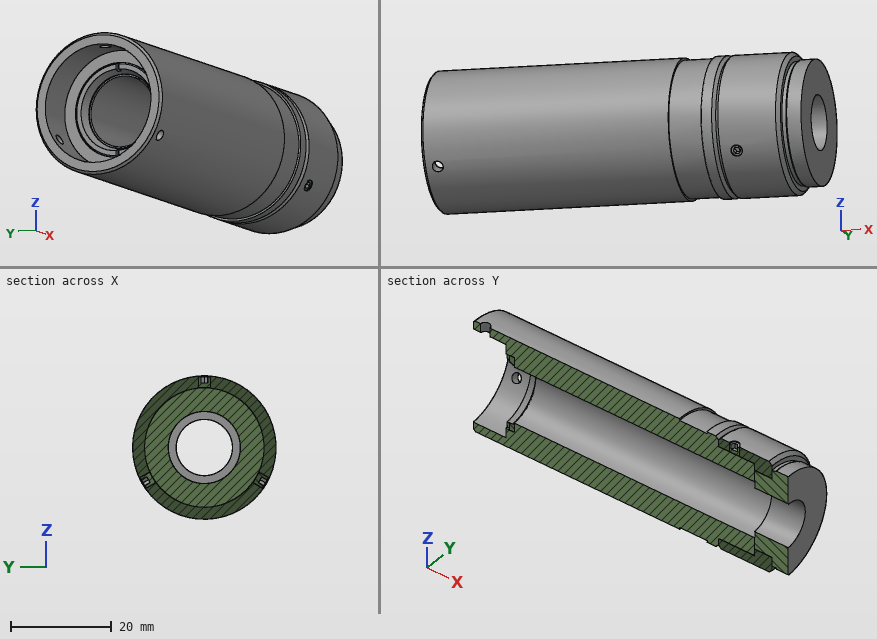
import cadquery as cq
import math

OVERALL_LENGTH = 78.41
OUTER_DIA = 28.57
OUTER_RADIUS = OUTER_DIA / 2

BARREL_LENGTH = 61.0
FRONT_CHAMFER = 0.5
GRIP_LENGTH = 51.35
NECK_END = 58.15
NECK_DIA = 27.7
GROOVE_CHAMFER = 0.65
FRONT_BORE_DIA = 23.88
FRONT_BORE_DEPTH = 8.1
LIGHT_PATH_DIA = 14.3
SPIGOT_DIA = 23.88
SPIGOT_LENGTH = 9.0

RING_DIA = 19.05
RING_THICKNESS = 2.1
RING_TAPER_LENGTH = 1.8
RING_EDGE_CHAMFER = 0.28
RING_FRONT_OPENING = 16.5
RING_BACK_OPENING = 14.99
SPANNER_SLOT_WIDTH = 0.7
SPANNER_SLOT_DEPTH = 0.8

HEAD_END = 74.4
HEAD_CHAMFER = 0.8

FLANGE_DIA = 25.4
RELIEF_DIA = 24.86
RELIEF_END = 75.45
RELIEF_TAPER = (FLANGE_DIA - RELIEF_DIA) / 2
MOUNT_SPIGOT_DIA = 20.07
APERTURE_DIA = 11.15

RADIAL_ANGLES = (90, 210, 330)
FRONT_HOLE_DIA = 2.2
FRONT_HOLES_X = 3.0
SET_SCREW_DIA = 2.3
SET_SCREWS_X = 64.95
SCREW_RECESS = 0.25
SOCKET_WIDTH = 1.27
SOCKET_DEPTH = 1.2
SOCKET_CORNER_DIA = SOCKET_WIDTH / math.cos(math.radians(30))

SPIGOT_END = BARREL_LENGTH + SPIGOT_LENGTH
RING_BACK = FRONT_BORE_DEPTH + RING_THICKNESS
SCREW_BOTTOM = SPIGOT_DIA / 2
SCREW_TOP = OUTER_RADIUS - SCREW_RECESS


def revolve_about_x(profile):
    """Solid of revolution about the X axis from (x, radius) points."""
    return cq.Workplane("XY").polyline(profile).close().revolve(360, (0, 0, 0), (1, 0, 0))


def cylinder_along_x(diameter, start, end):
    return cq.Workplane("YZ").workplane(offset=start).circle(diameter / 2).extrude(end - start)


def radial_plane(x, angle, radius):
    """Work plane facing outward at the given radius; the angle runs from +Y towards +Z."""
    outward = (0, math.cos(math.radians(angle)), math.sin(math.radians(angle)))
    origin = (x, radius * outward[1], radius * outward[2])
    return cq.Workplane(cq.Plane(origin=origin, xDir=(1, 0, 0), normal=outward))


def drill_radial_holes(body, diameter, x, bottom):
    for angle in RADIAL_ANGLES:
        drill = radial_plane(x, angle, bottom).circle(diameter / 2).extrude(OUTER_RADIUS)
        body = body.cut(drill)
    return body


def make_barrel():
    body = revolve_about_x([
        (0, 0),
        (0, OUTER_RADIUS - FRONT_CHAMFER),
        (FRONT_CHAMFER, OUTER_RADIUS),
        (GRIP_LENGTH, OUTER_RADIUS),
        (GRIP_LENGTH, NECK_DIA / 2),
        (NECK_END, NECK_DIA / 2),
        (NECK_END, OUTER_RADIUS),
        (BARREL_LENGTH - GROOVE_CHAMFER, OUTER_RADIUS),
        (BARREL_LENGTH, OUTER_RADIUS - GROOVE_CHAMFER),
        (BARREL_LENGTH, SPIGOT_DIA / 2),
        (SPIGOT_END, SPIGOT_DIA / 2),
        (SPIGOT_END, 0),
    ])
    body = body.cut(cylinder_along_x(FRONT_BORE_DIA, 0, FRONT_BORE_DEPTH))
    body = body.cut(cylinder_along_x(RING_DIA, FRONT_BORE_DEPTH, RING_BACK))
    body = body.cut(cylinder_along_x(LIGHT_PATH_DIA, RING_BACK, SPIGOT_END))
    return drill_radial_holes(body, FRONT_HOLE_DIA, FRONT_HOLES_X, 0)


def make_retaining_ring():
    ring = revolve_about_x([
        (FRONT_BORE_DEPTH, RING_FRONT_OPENING / 2),
        (FRONT_BORE_DEPTH, RING_DIA / 2 - RING_EDGE_CHAMFER),
        (FRONT_BORE_DEPTH + RING_EDGE_CHAMFER, RING_DIA / 2),
        (RING_BACK, RING_DIA / 2),
        (RING_BACK, RING_BACK_OPENING / 2),
        (FRONT_BORE_DEPTH + RING_TAPER_LENGTH, RING_BACK_OPENING / 2),
    ])
    spanner_slot = cq.Workplane("XY").box(2 * SPANNER_SLOT_DEPTH, SPANNER_SLOT_WIDTH, RING_DIA)
    return ring.cut(spanner_slot.translate((FRONT_BORE_DEPTH, 0, 0)))


def make_head():
    body = revolve_about_x([
        (BARREL_LENGTH, 0),
        (BARREL_LENGTH, OUTER_RADIUS - GROOVE_CHAMFER),
        (BARREL_LENGTH + GROOVE_CHAMFER, OUTER_RADIUS),
        (HEAD_END - HEAD_CHAMFER, OUTER_RADIUS),
        (HEAD_END, OUTER_RADIUS - HEAD_CHAMFER),
        (HEAD_END, 0),
    ])
    body = body.cut(cylinder_along_x(SPIGOT_DIA, BARREL_LENGTH, SPIGOT_END))
    body = body.cut(cylinder_along_x(MOUNT_SPIGOT_DIA, SPIGOT_END, HEAD_END))
    return drill_radial_holes(body, SET_SCREW_DIA, SET_SCREWS_X, SCREW_BOTTOM)


def make_mount():
    return revolve_about_x([
        (SPIGOT_END, APERTURE_DIA / 2),
        (SPIGOT_END, MOUNT_SPIGOT_DIA / 2),
        (HEAD_END, MOUNT_SPIGOT_DIA / 2),
        (HEAD_END, RELIEF_DIA / 2),
        (RELIEF_END - RELIEF_TAPER, RELIEF_DIA / 2),
        (RELIEF_END, FLANGE_DIA / 2),
        (OVERALL_LENGTH, FLANGE_DIA / 2),
        (OVERALL_LENGTH, APERTURE_DIA / 2),
    ])


def make_set_screw(angle):
    """Screw with a hexagon socket; two corners of the socket lie along X."""
    body = radial_plane(SET_SCREWS_X, angle, SCREW_BOTTOM)
    body = body.circle(SET_SCREW_DIA / 2).extrude(SCREW_TOP - SCREW_BOTTOM)
    socket = radial_plane(SET_SCREWS_X, angle, SCREW_TOP - SOCKET_DEPTH)
    socket = socket.polygon(6, SOCKET_CORNER_DIA).extrude(SOCKET_DEPTH)
    return body.cut(socket)


barrel = make_barrel()
retaining_ring = make_retaining_ring()
head = make_head()
mount = make_mount()
set_screws = [make_set_screw(angle) for angle in RADIAL_ANGLES]

result = cq.Compound.makeCompound([
    barrel.val(),
    retaining_ring.val(),
    head.val(),
    mount.val(),
    *[screw.val() for screw in set_screws],
])